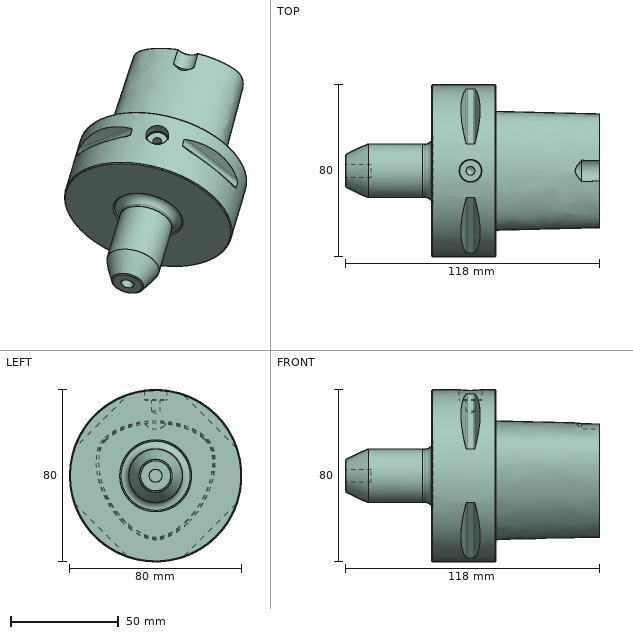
import cadquery as cq
import math

TOTAL_LENGTH = 118.0

TIP_FACE_DIA = 13.9
TIP_DIA = 15.3
TIP_BEVEL_LENGTH = 0.4
CONE_END_X = 10.7
CONE_BULGE = 0.2
PIN_DIA = 25.0
PIN_END_X = 35.8
NECK_DIA = 24.8
NECK_BLEND_X = 36.9
TIP_HOLE_DIA = 6.0
TIP_HOLE_DEPTH = 11.8

FLANGE_DIA = 80.0
FLANGE_FRONT_X = 40.0
FLANGE_REAR_X = 69.9
FLANGE_CHAMFER = 0.5
RELIEF_RADIUS = 3.7
RELIEF_RIM_DIA = 33.4

GROOVE_X = 58.0
GROOVE_ANGLES = (45, 135, 225, 315)
GROOVE_FLOOR_DISTANCE = 35.6
GROOVE_FLOOR_WIDTH = 3.9
GROOVE_FLANK_ANGLE = 30.0
GROOVE_CORNER_RADIUS = 0.8
CUTTER_OVERSHOOT = 1.2
RIM_HOLE_DIA = 10.0
RIM_HOLE_MOUTH_DIA = 10.5
RIM_HOLE_FLOOR_Z = 34.8
RIM_HOLE_MOUTH_FLOOR_Z = 35.3
PILOT_HOLE_DIA = 4.0
PILOT_HOLE_DEPTH = 4.7
DRILL_POINT_ANGLE = 118.0

SHANK_BASE_RADIUS = 27.6
SHANK_END_RADIUS = 26.4
LOBE_HEIGHT = 2.1
OUTLINE_STEPS = 36

NOTCH_DIA = 11.8
NOTCH_AXIS_Z = 27.5
NOTCH_POINT_ANGLE = 90.0
NOTCH_LENGTH = 8.4


def drill(diameter, depth, point_angle):
    """Drill with a conical point, running along +Z from the origin."""
    tip_z = depth + diameter / 2 / math.tan(math.radians(point_angle / 2))
    outline = [(0, 0), (diameter / 2, 0), (diameter / 2, depth), (0, tip_z)]
    return cq.Workplane("XZ").polyline(outline).close().revolve(360, (0, 0), (0, 1))


def turned_body():
    neck_radius = NECK_DIA / 2
    rim_radius = FLANGE_DIA / 2
    relief_floor_x = NECK_BLEND_X + RELIEF_RADIUS
    relief_floor_radius = neck_radius + RELIEF_RADIUS
    arc_reach = RELIEF_RADIUS * math.sqrt(0.5)
    arc_middle = (NECK_BLEND_X + arc_reach, relief_floor_radius - arc_reach)
    return (
        cq.Workplane("XY")
        .moveTo(0, 0)
        .lineTo(0, TIP_FACE_DIA / 2)
        .lineTo(TIP_BEVEL_LENGTH, TIP_DIA / 2)
        .sagittaArc((CONE_END_X, PIN_DIA / 2), CONE_BULGE)
        .lineTo(PIN_END_X, PIN_DIA / 2)
        .lineTo(PIN_END_X, neck_radius)
        .lineTo(NECK_BLEND_X, neck_radius)
        .threePointArc(arc_middle, (relief_floor_x, relief_floor_radius))
        .lineTo(FLANGE_FRONT_X, RELIEF_RIM_DIA / 2)
        .lineTo(FLANGE_FRONT_X, rim_radius - FLANGE_CHAMFER)
        .lineTo(FLANGE_FRONT_X + FLANGE_CHAMFER, rim_radius)
        .lineTo(FLANGE_REAR_X - FLANGE_CHAMFER, rim_radius)
        .lineTo(FLANGE_REAR_X, rim_radius - FLANGE_CHAMFER)
        .lineTo(FLANGE_REAR_X, 0)
        .close()
        .revolve(360, (0, 0), (1, 0))
    )


def lobed_outline(mean_radius):
    """Points around a constant-width trilobe, from its tangent distance in each direction."""
    points = []
    for step in range(OUTLINE_STEPS):
        angle = 2 * math.pi * step / OUTLINE_STEPS
        distance = mean_radius + LOBE_HEIGHT * math.sin(3 * angle)
        slope = 3 * LOBE_HEIGHT * math.cos(3 * angle)
        y = distance * math.cos(angle) - slope * math.sin(angle)
        z = distance * math.sin(angle) + slope * math.cos(angle)
        points.append((y, z))
    return points


def shank():
    return (
        cq.Workplane("YZ", origin=(FLANGE_REAR_X, 0, 0))
        .spline(lobed_outline(SHANK_BASE_RADIUS), periodic=True)
        .wire()
        .workplane(offset=TOTAL_LENGTH - FLANGE_REAR_X)
        .spline(lobed_outline(SHANK_END_RADIUS), periodic=True)
        .wire()
        .loft(ruled=True)
    )


def gripper_groove():
    """Flat-bottomed V cutter lying across the top of the flange."""
    height = FLANGE_DIA / 2 - GROOVE_FLOOR_DISTANCE + CUTTER_OVERSHOOT
    floor_half = GROOVE_FLOOR_WIDTH / 2
    mouth_half = floor_half + height * math.tan(math.radians(GROOVE_FLANK_ANGLE))
    return (
        cq.Workplane("XZ", origin=(GROOVE_X, 0, GROOVE_FLOOR_DISTANCE))
        .polyline([(-floor_half, 0), (floor_half, 0), (mouth_half, height), (-mouth_half, height)])
        .close()
        .extrude(FLANGE_DIA / 2, both=True)
        .faces("<Z")
        .edges("|Y")
        .fillet(GROOVE_CORNER_RADIUS)
    )


def rim_hole():
    def bore(diameter, floor_z):
        return (
            cq.Workplane("XY", origin=(GROOVE_X, 0, floor_z))
            .circle(diameter / 2)
            .extrude(FLANGE_DIA / 2 - floor_z)
        )

    pilot = (
        drill(PILOT_HOLE_DIA, PILOT_HOLE_DEPTH, DRILL_POINT_ANGLE)
        .rotate((0, 0, 0), (1, 0, 0), 180)
        .translate((GROOVE_X, 0, RIM_HOLE_FLOOR_Z))
    )
    wide_bore = bore(RIM_HOLE_MOUTH_DIA, RIM_HOLE_MOUTH_FLOOR_Z)
    return bore(RIM_HOLE_DIA, RIM_HOLE_FLOOR_Z).union(wide_bore).union(pilot)


def shank_notch():
    return (
        drill(NOTCH_DIA, NOTCH_LENGTH, NOTCH_POINT_ANGLE)
        .rotate((0, 0, 0), (0, 1, 0), -90)
        .translate((TOTAL_LENGTH, 0, NOTCH_AXIS_Z))
    )


def tip_hole():
    return cq.Workplane("YZ").circle(TIP_HOLE_DIA / 2).extrude(TIP_HOLE_DEPTH)


result = turned_body().union(shank())
for groove_angle in GROOVE_ANGLES:
    result = result.cut(gripper_groove().rotate((0, 0, 0), (1, 0, 0), groove_angle))
result = result.cut(rim_hole()).cut(shank_notch()).cut(tip_hole())